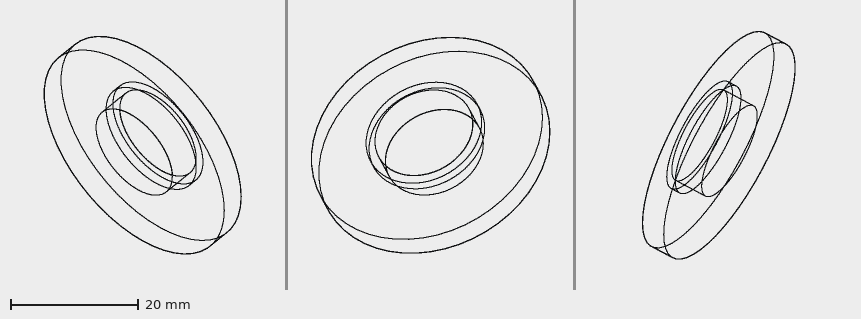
import cadquery as cq

flange_diameter = 38.1
collar_diameter = flange_diameter / 2
bore_diameter = 16.1
flange_thickness = 4.0
overall_depth = 5.6


def disc(diameter, depth):
    """Disc about the Y axis, from the front face at Y = 0 toward +Y."""
    return cq.Workplane("XZ").circle(diameter / 2).extrude(-depth)


flange = disc(flange_diameter, flange_thickness)
collar = disc(collar_diameter, overall_depth)

bore = disc(bore_diameter, overall_depth)

result = flange.union(collar).cut(bore)